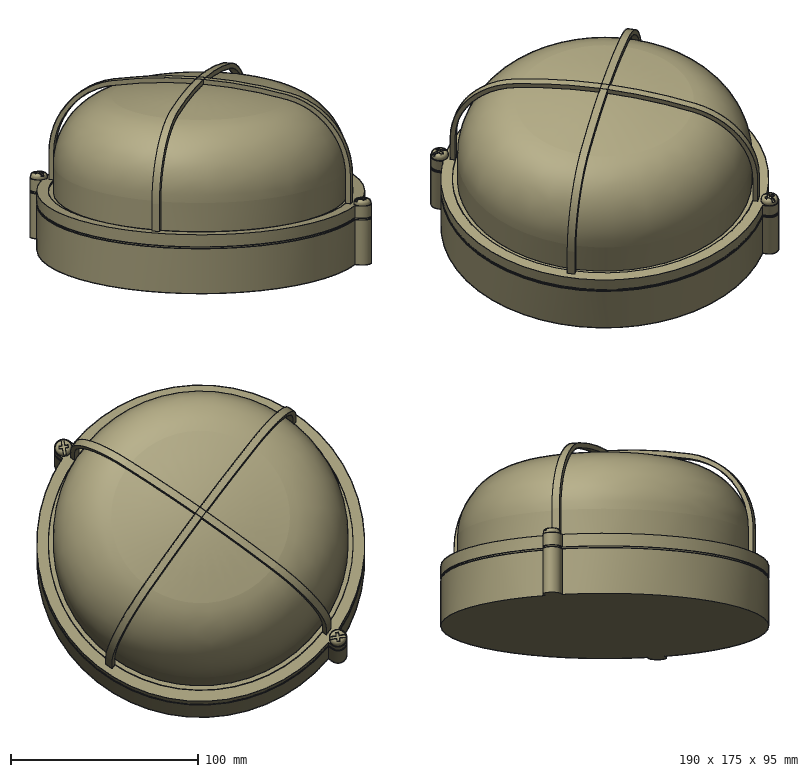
import cadquery as cq
import math

overall_length = 190.0
body_diameter = 175.0
lug_radius = 5.0
lug_offset = overall_length / 2 - lug_radius
tray_height = 24.9
gasket_height = 1.0
gasket_inset = 0.5
ring_top = 32.7
ring_opening_radius = 81.3
ring_opening_depth = 1.0

dome_radius = 78.7
shoulder_height = 47.7
shoulder_radius = 38.0
dome_top = 89.5

guard_top = 95.0
guard_gap = 2.7
guard_thickness = 2.7
guard_width = 4.2

head_radius = 4.5
head_height = 2.8
head_rounding = 2.0
slot_angle = 45
slot_width = 1.5
slot_depth = 1.1
cross_arm_length = 5.0

seat_height = ring_top - ring_opening_depth


def base_layer(bottom, height, inset=0.0):
    """Disc with a round-ended lug on both sides, pulled in by `inset` all around."""
    disc = cq.Workplane("XY").workplane(offset=bottom).circle(body_diameter / 2 - inset).extrude(height)
    lugs = (
        cq.Workplane("XY")
        .workplane(offset=bottom)
        .slot2D(2 * (lug_offset + lug_radius - inset), 2 * (lug_radius - inset))
        .extrude(height)
    )
    return disc.union(lugs)


def dome_outline(bottom, side, top, corner):
    """Closed half profile from the axis: spherical crown, tangent shoulder and straight side."""
    corner_x = side - corner
    rise = top - shoulder_height
    crown = (corner_x**2 + rise**2 - corner**2) / (2 * (rise - corner))
    tilt = math.asin(corner_x / (crown - corner))

    def on_crown(angle):
        return (crown * math.sin(angle), top - crown * (1 - math.cos(angle)))

    def on_shoulder(angle):
        return (corner_x + corner * math.sin(angle), shoulder_height + corner * math.cos(angle))

    return (
        cq.Workplane("XZ")
        .moveTo(0, bottom)
        .lineTo(0, top)
        .threePointArc(on_crown(tilt / 2), on_crown(tilt))
        .threePointArc(on_shoulder((tilt + math.pi / 2) / 2), (side, shoulder_height))
        .lineTo(side, bottom)
        .close()
    )


def guard_bar():
    """Flat bar arching over the dome along X."""
    inner_side = dome_radius + guard_gap
    inner_corner = shoulder_radius + guard_gap
    outer_side = inner_side + guard_thickness
    outer_corner = inner_corner + guard_thickness
    outer = dome_outline(seat_height, outer_side, guard_top, outer_corner)
    inner = dome_outline(seat_height, inner_side, guard_top - guard_thickness, inner_corner)
    half_width = guard_width / 2
    half_bar = outer.extrude(half_width, both=True).cut(inner.extrude(half_width, both=True))
    return half_bar.union(half_bar.mirror("YZ"))


def screw_head(side):
    """Rounded head with a diagonal slot and a short cross arm, on the lug at `side` (-1 or +1) along X."""
    head = (
        cq.Workplane("XY")
        .circle(head_radius)
        .extrude(head_height)
        .faces(">Z")
        .edges()
        .fillet(head_rounding)
    )
    slot_floor = cq.Workplane("XY").workplane(offset=head_height - slot_depth)
    slot = slot_floor.rect(2 * head_radius, slot_width).extrude(slot_depth)
    cross_arm = slot_floor.rect(slot_width, cross_arm_length).extrude(slot_depth)
    drive = slot.union(cross_arm).rotate((0, 0, 0), (0, 0, 1), side * slot_angle)
    return head.cut(drive).translate((side * lug_offset, 0, ring_top))


ring_bottom = tray_height + gasket_height
opening = (
    cq.Workplane("XY").workplane(offset=seat_height).circle(ring_opening_radius).extrude(ring_opening_depth)
)
base = (
    base_layer(0, tray_height)
    .union(base_layer(tray_height, gasket_height, gasket_inset))
    .union(base_layer(ring_bottom, ring_top - ring_bottom))
    .cut(opening)
)

dome = dome_outline(seat_height, dome_radius, dome_top, shoulder_radius).revolve(360, (0, 0, 0), (0, 1, 0))

bar = guard_bar()
guard = bar.union(bar.rotate((0, 0, 0), (0, 0, 1), 90))

result = base.union(dome).union(guard)
for lug_side in (-1, 1):
    result = result.union(screw_head(lug_side))